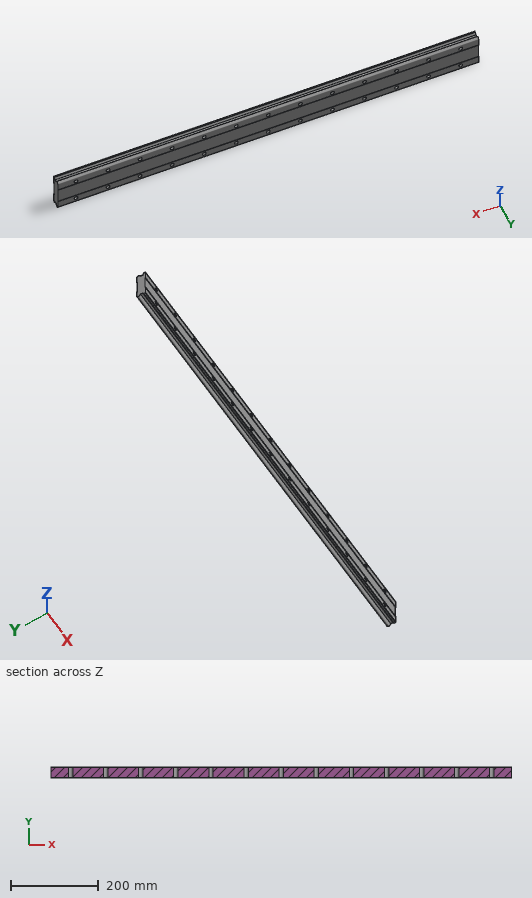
import cadquery as cq
import math

LENGTH = 1050.0
DEPTH = 24.0
HEIGHT = 90.0

LIP_THICKNESS = 4.7
LIP_CHAMFER = 1.3
LIP_BACK_ANGLE = 60.0

GROOVE_DEPTH = 5.6

HEAD_WIDTH = 10.0
HEAD_FLANK_ANGLE = 45.0
RIDGE_RADIUS = 2.0
SHOULDER_RADIUS = 2.6

CHANNEL_WIDTH = 41.0
CHANNEL_DEPTH = 1.0

HOLE_DIAMETER = 8.9
HOLE_COUNT = 13
HOLE_END_MARGIN = 45.0
HOLE_ROW_SPACING = 60.0

FRONT_Y = -DEPTH / 2
BACK_Y = DEPTH / 2
LIP_TOP_BACK_Y = FRONT_Y + LIP_THICKNESS
LIP_FOOT_Y = LIP_TOP_BACK_Y + GROOVE_DEPTH / math.tan(math.radians(LIP_BACK_ANGLE))
HEAD_FRONT_Y = BACK_Y - HEAD_WIDTH
RIDGE_Y = BACK_Y - HEAD_WIDTH / 2

TOP_Z = HEIGHT / 2
FLOOR_Z = TOP_Z - GROOVE_DEPTH
FLANK_ANGLE = math.radians(HEAD_FLANK_ANGLE)
SHARP_RIDGE_Z = TOP_Z + RIDGE_RADIUS * (1 / math.cos(FLANK_ANGLE) - 1)
SHOULDER_Z = SHARP_RIDGE_Z - HEAD_WIDTH / 2 * math.tan(FLANK_ANGLE)


def edge_outline(side):
    """Sharp profile from lip to head; side is +1 for the top edge and -1 for the bottom edge."""
    points = [
        (FRONT_Y, TOP_Z - LIP_CHAMFER),
        (FRONT_Y + LIP_CHAMFER, TOP_Z),
        (LIP_TOP_BACK_Y, TOP_Z),
        (LIP_FOOT_Y, FLOOR_Z),
        (HEAD_FRONT_Y, FLOOR_Z),
        (HEAD_FRONT_Y, SHOULDER_Z),
        (RIDGE_Y, SHARP_RIDGE_Z),
        (BACK_Y, SHOULDER_Z),
    ]
    return [(y, side * z) for y, z in points]


def round_long_edge(body, y, z, radius):
    """Fillet the edge along X that passes through (y, z)."""
    return body.edges(cq.selectors.NearestToPointSelector((0, y, z))).fillet(radius)


def make_bar():
    """Bar with the same lip, groove and rounded head along its top and bottom edges."""
    outline = edge_outline(1) + edge_outline(-1)[::-1]
    bar = cq.Workplane("YZ").polyline(outline).close().extrude(LENGTH / 2, both=True)
    for side in (1, -1):
        bar = round_long_edge(bar, RIDGE_Y, side * SHARP_RIDGE_Z, RIDGE_RADIUS)
        for shoulder_y in (HEAD_FRONT_Y, BACK_Y):
            bar = round_long_edge(bar, shoulder_y, side * SHOULDER_Z, SHOULDER_RADIUS)
    return bar


def make_channel(face_y):
    """Channel cutter centred on a broad face."""
    return cq.Workplane("XY").box(LENGTH, 2 * CHANNEL_DEPTH, CHANNEL_WIDTH).translate((0, face_y, 0))


def make_holes():
    """Evenly spaced hole cutters in two rows, running through the full depth."""
    pitch = (LENGTH - 2 * HOLE_END_MARGIN) / (HOLE_COUNT - 1)
    return (
        cq.Workplane("XZ")
        .rarray(pitch, HOLE_ROW_SPACING, HOLE_COUNT, 2)
        .circle(HOLE_DIAMETER / 2)
        .extrude(DEPTH, both=True)
    )


result = make_bar()
for broad_face_y in (FRONT_Y, BACK_Y):
    result = result.cut(make_channel(broad_face_y))
result = result.cut(make_holes())